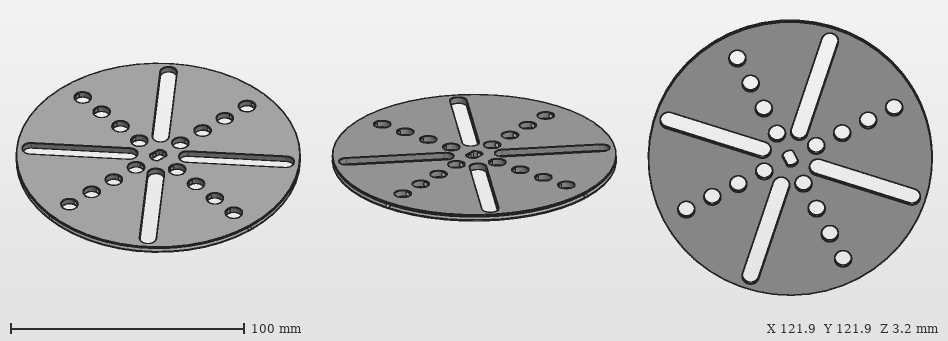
import cadquery as cq

disc_diameter = 121.9
disc_thickness = 3.2
disc_radius = disc_diameter / 2
edge_chamfer = 0.3

groove_width = 1.6
groove_depth = 1.0

hole_diameter = 7.0
holes_per_arm = 4
outer_hole_radius = 50.0
hole_pitch = outer_hole_radius / holes_per_arm

slot_count = 4
slot_angle = 45.0
slot_inner_radius = hole_pitch
slot_outer_radius = 54.8

center_flat_width = 4.9

bore_diameter = 2.0
bore_length = 1.2 * disc_diameter
bore_seam_angle = 37.0


def grooved_disc():
    """Revolve the half section of the disc, with chamfered rim and V-groove, about Z."""
    half_thickness = disc_thickness / 2
    half_groove = groove_width / 2
    return (
        cq.Workplane("XZ")
        .moveTo(0, -half_thickness)
        .lineTo(disc_radius - edge_chamfer, -half_thickness)
        .lineTo(disc_radius, edge_chamfer - half_thickness)
        .lineTo(disc_radius, -half_groove)
        .lineTo(disc_radius - groove_depth, 0)
        .lineTo(disc_radius, half_groove)
        .lineTo(disc_radius, half_thickness - edge_chamfer)
        .lineTo(disc_radius - edge_chamfer, half_thickness)
        .lineTo(0, half_thickness)
        .close()
        .revolve(360, (0, 0, 0), (0, 1, 0))
    )


def bottom_plane():
    """Workplane on the lower face of the disc."""
    return cq.Workplane("XY", origin=(0, 0, -disc_thickness / 2))


def round_holes():
    """Row of holes on each of the four arms of the cross, none at the center."""
    points = []
    for index in range(1, holes_per_arm + 1):
        distance = index * hole_pitch
        points += [(distance, 0), (-distance, 0), (0, distance), (0, -distance)]
    return bottom_plane().pushPoints(points).circle(hole_diameter / 2).extrude(disc_thickness)


def diagonal_slots():
    """Radial slots with round ends, midway between the arms of holes."""
    middle_radius = (slot_inner_radius + slot_outer_radius) / 2
    overall_length = slot_outer_radius - slot_inner_radius + hole_diameter
    return (
        bottom_plane()
        .polarArray(middle_radius, slot_angle, 360, slot_count)
        .slot2D(overall_length, hole_diameter)
        .extrude(disc_thickness)
    )


def center_hole():
    """Round hole narrowed in X by two flats."""
    flats = cq.Workplane("XY").box(center_flat_width, hole_diameter, disc_thickness)
    return bottom_plane().circle(hole_diameter / 2).extrude(disc_thickness).intersect(flats)


def cross_bore(plane):
    """Bore straight through the disc along the normal of the given plane, running past the rim.

    The seam of the bore is turned away from the symmetry planes so that it meets no other seam.
    """
    return (
        cq.Workplane(plane)
        .workplane(offset=-bore_length / 2)
        .transformed(rotate=(0, 0, bore_seam_angle))
        .circle(bore_diameter / 2)
        .extrude(bore_length)
    )


def chamfer_openings(body):
    """Chamfer both ends of every opening through the disc."""
    inner_wires = [wire for face in body.faces("<Z or >Z").vals() for wire in face.innerWires()]
    return body.newObject(inner_wires).edges().chamfer(edge_chamfer)


disc = grooved_disc().cut(round_holes()).cut(diagonal_slots()).cut(center_hole())
disc = chamfer_openings(disc)
result = disc.cut(cross_bore("XZ")).cut(cross_bore("YZ"))